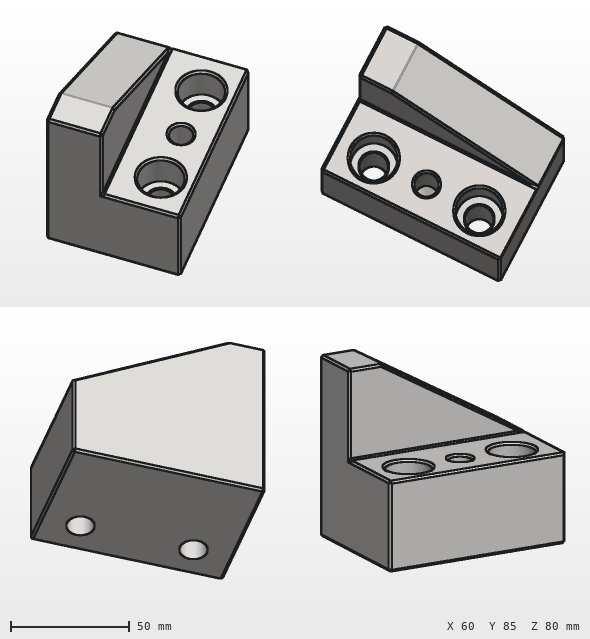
import cadquery as cq
import math

width = 60.0
length = 85.0
height = 80.0
wall_thickness = 25.0
base_height = 40.0
slope_angle = 30.0
edge_chamfer = 1.0
light_chamfer = 0.3

relief_radius = 0.8

hole_x = 45.0
hole_spacing = 50.0
bolt_diameter = 12.0
bolt_rim_diameter = 13.0
counterbore_diameter = 20.0
counterbore_depth = 15.0
center_diameter = 10.2
center_rim_diameter = 12.15
center_depth = 23.8
drill_point_angle = 118.0


def make_base():
    """Full-width lower block with chamfered edges, lighter along the top back edge."""
    block = cq.Workplane("XY").box(width, length, base_height, centered=False)
    block = block.faces("<X or >X or <Y or <Z").edges().chamfer(edge_chamfer)
    return block.faces(">Z").edges(">Y").chamfer(light_chamfer)


def make_wall():
    """Upright wall whose top slopes down to the base height at the back."""
    slope_run = (height - base_height) / math.tan(math.radians(slope_angle))
    profile = [
        (0, 0),
        (length, 0),
        (length, base_height),
        (length - slope_run, height),
        (0, height),
    ]
    wall = cq.Workplane("YZ").polyline(profile).close().extrude(wall_thickness)
    wall = wall.faces("<X or >X or <Y or <Z").edges().chamfer(edge_chamfer)
    wall = wall.faces(">Z").edges(">Y").chamfer(light_chamfer)
    return wall.faces(">Y").edges(">Z").chamfer(light_chamfer)


def make_relief():
    """Round bar along the inner corner of wall and base."""
    return (
        cq.Workplane("XZ")
        .center(wall_thickness, base_height)
        .circle(relief_radius)
        .extrude(-length)
    )


def make_hole(y, profile):
    """Revolved cutter at the hole row; profile holds (radius, z) points from top to bottom."""
    cutter = cq.Workplane("XZ").polyline(profile).close().revolve(360, (0, 0), (0, 1))
    return cutter.translate((hole_x, y, 0))


def bolt_hole(y):
    """Counterbored through hole with chamfered rims."""
    bolt_radius = bolt_diameter / 2
    rim_radius = bolt_rim_diameter / 2
    bore_radius = counterbore_diameter / 2
    floor_z = base_height - counterbore_depth
    return make_hole(y, [
        (0, base_height),
        (bore_radius + edge_chamfer, base_height),
        (bore_radius, base_height - edge_chamfer),
        (bore_radius, floor_z),
        (rim_radius, floor_z),
        (bolt_radius, floor_z - (rim_radius - bolt_radius)),
        (bolt_radius, 0),
        (0, 0),
    ])


def center_hole(y):
    """Blind drilled hole with a chamfered rim and a conical bottom."""
    radius = center_diameter / 2
    rim_radius = center_rim_diameter / 2
    point_depth = radius / math.tan(math.radians(drill_point_angle / 2))
    bottom_z = base_height - center_depth
    return make_hole(y, [
        (0, base_height),
        (rim_radius, base_height),
        (radius, base_height - (rim_radius - radius)),
        (radius, bottom_z),
        (0, bottom_z - point_depth),
    ])


result = make_base().union(make_wall()).cut(make_relief())
for side in (-1, 1):
    result = result.cut(bolt_hole(length / 2 + side * hole_spacing / 2))
result = result.cut(center_hole(length / 2))